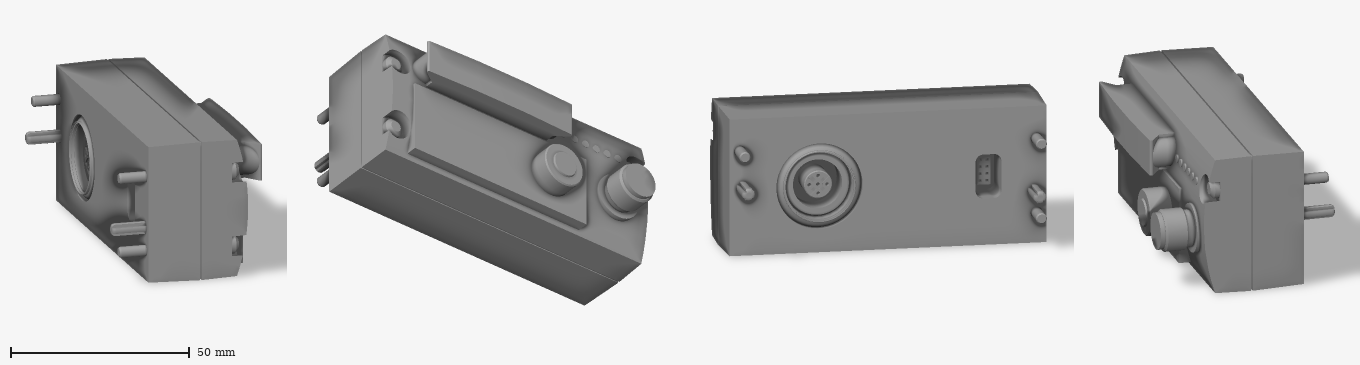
import cadquery as cq
import math

LENGTH = 91.0
HEIGHT = 40.0
DRAFT = 0.4
BASE_DEPTH = 14.9
GROOVE_WIDTH = 0.55
GROOVE_DEPTH = 0.3
PARTING_Y = BASE_DEPTH + GROOVE_WIDTH
COVER_EDGE_Y = 25.75
COVER_CROWN_Y = 29.1
PANEL_Y = 29.85

SCREW_X = 42.2
SCREW_UPPER_Z = 10.4
SCREW_LOWER_Z = -11.0
SCREW_SPOTS = [(-SCREW_X, SCREW_UPPER_Z), (SCREW_X, SCREW_UPPER_Z), (SCREW_X, SCREW_LOWER_Z)]
SHANK_D = 3.1
SHANK_TIP_D = 2.5
SHANK_TIP_Y = -7.8
SHANK_CHAMFER = 0.5
SCREW_HOLE_D = 3.4
HEAD_D = 5.6
HEAD_RIM_HEIGHT = 1.5
HEAD_BEVEL_HEIGHT = 1.1
HEAD_TOP_R = 1.6
HEAD_SEAT_Y = 24.3
HEAD_POCKET_D = 8.3

KEY_SPOTS = [(-41.5, 0.0), (41.5, -4.55)]
KEY_D = 3.6
KEY_ARM = 1.55
KEY_TIP_Y = -9.8
KEY_TIP_R = 1.0

HEADER_X = 28.6
POCKET_WIDTH = 7.4
POCKET_HEIGHT = 12.65
POCKET_CORNER_R = 2.2
POCKET_DEPTH = 10.9
HEADER_WIDTH = 4.0
HEADER_HEIGHT = 8.2
HEADER_FRONT_Y = 7.3
CONTACT_PITCH = 2.0
CONTACT_SIZE = 0.8
CONTACT_DEPTH = 2.7

SOCKET_X = -19.6
SOCKET_Z = -0.6
SOCKET_R = 12.3
SOCKET_BACK_Y = 12.7
SEAL_SHOULDER_Y = 2.2
SEAL_BULGE = 0.2
COLLAR_R = 10.4
COLLAR_LIP_R = 10.1
COLLAR_STEP_R = 9.8
COLLAR_STEP_Y = -0.3
COLLAR_BORE_R = 9.6
COLLAR_BORE_Y = 0.55
COLLAR_FRONT_Y = -0.8
COLLAR_CHAMFER = 0.2
V_GROOVE_R = 9.4
V_GROOVE_Y = 3.5
LEDGE_R = 8.9
LEDGE_Y = 2.9
WELL_R = 7.0
WELL_FLOOR_Y = 10.9
POST_R = 4.0
POST_FRONT_Y = 1.8
POST_CHAMFER = 0.3
CONTACT_HOLE_D = 1.1
CONTACT_HOLE_OFFSET = 2.55
CONTACT_HOLE_DEPTH = 4.55
CROSS_WIDTH = 1.1
CROSS_HUB_D = 2.6
CROSS_DEPTH = 0.5

PLUG_X = -34.1
PLUG_Z = -3.7
PLUG_END_Y = 39.95
FLANGE_R = 7.0
FLANGE_SEAT_Y = 27.8
NECK_R = 5.3
NECK_FOOT_R = 5.1
NECK_FOOT_Y = 30.4
GRIP_R = 6.0
GRIP_START_Y = 31.8
GRIP_END_Y = 38.5
GRIP_CHAMFER = 0.55

PANEL_LEFT = -22.75
PANEL_RIGHT = 37.9
PANEL_BOTTOM = -18.2
PANEL_TOP = 4.0
CAP_X = -10.0
CAP_Z = -6.8
CAP_R = 6.7
CAP_TOP_Y = 36.3
CAP_CHAMFER = 0.4
BUTTON_R = 4.0
BUTTON_TOP_Y = 36.9
BUTTON_TOP_R = 3.7

BRACKET_X = 12.0
BRACKET_Z = 10.4
BRACKET_WIDTH = 10.4
BRACKET_POST_D = 8.3
BRACKET_POST_HALF = 21.3
BRACKET_WING_Y = 31.7
BRACKET_TIP_HALF = 25.5
BRACKET_TIP_LOW_Y = 34.7
BRACKET_TIP_HIGH_Y = 35.6
BRACKET_TIP_SETBACK = 0.55
BRACKET_TIP_UNDERCUT = 0.14
BRACKET_CROWN_Y = 36.2

LENS_COUNT = 6
LENS_PITCH = 3.8
LENS_FIRST_X = -34.9
LENS_D = 2.3
LENS_TOP_Y = 28.6


def rod(x, z, diameter, y_start, y_end):
    """Round bar along Y."""
    depth = y_end - y_start
    return cq.Workplane("XZ", origin=(x, y_start, z)).circle(diameter / 2).extrude(-depth)


def block(x, z, width, height, y_start, y_end):
    """Rectangular bar along Y, centred on (x, z)."""
    depth = y_end - y_start
    return cq.Workplane("XZ", origin=(x, y_start, z)).rect(width, height).extrude(-depth)


def turned(outline, x, z):
    """Turn an outline of (radius, y) points about the Y axis through (x, z)."""
    profile = cq.Workplane("XY", origin=(x, 0, z)).polyline(outline).close()
    return profile.revolve(360, (0, 0, 0), (0, 1, 0))


def drafted_block(y_wide, y_narrow):
    """Housing block that is full size at y_wide and leans in towards y_narrow."""
    depth = y_narrow - y_wide
    angle = math.degrees(math.atan(DRAFT / abs(depth)))
    start = cq.Workplane("XZ", origin=(0, y_wide, 0)).rect(LENGTH, HEIGHT)
    return start.extrude(-depth, taper=angle)


def make_key(x, z):
    upright = block(x, z, KEY_ARM, KEY_D, KEY_TIP_Y, 0)
    crosswise = block(x, z, KEY_D, KEY_ARM, KEY_TIP_Y, 0)
    envelope = rod(x, z, KEY_D, KEY_TIP_Y, 0).faces("<Y").fillet(KEY_TIP_R)
    return upright.union(crosswise).intersect(envelope)


def make_header():
    header = block(HEADER_X, 0, HEADER_WIDTH, HEADER_HEIGHT, HEADER_FRONT_Y, POCKET_DEPTH)
    for column in (-0.5, 0.5):
        for row in (-1.5, -0.5, 0.5, 1.5):
            x = HEADER_X + column * CONTACT_PITCH
            z = row * CONTACT_PITCH
            contact_end_y = HEADER_FRONT_Y + CONTACT_DEPTH
            header = header.cut(block(x, z, CONTACT_SIZE, CONTACT_SIZE, HEADER_FRONT_Y, contact_end_y))
    return header


def make_base():
    base = drafted_block(BASE_DEPTH, 0)
    core_length = LENGTH - 2 * GROOVE_DEPTH
    core_height = HEIGHT - 2 * GROOVE_DEPTH
    base = base.union(block(0, 0, core_length, core_height, BASE_DEPTH, PARTING_Y))

    pocket = block(HEADER_X, 0, POCKET_WIDTH, POCKET_HEIGHT, 0, POCKET_DEPTH)
    base = base.cut(pocket.edges("|Y").fillet(POCKET_CORNER_R))
    base = base.union(make_header())

    base = base.cut(rod(SOCKET_X, SOCKET_Z, 2 * SOCKET_R, 0, SOCKET_BACK_Y))
    for x, z in SCREW_SPOTS:
        base = base.cut(rod(x, z, SCREW_HOLE_D, 0, PARTING_Y))
    for x, z in KEY_SPOTS:
        base = base.union(make_key(x, z))
    return base


def make_cover_shell():
    crowned = (
        cq.Workplane("YZ", origin=(-LENGTH / 2, 0, 0))
        .moveTo(PARTING_Y, -HEIGHT / 2)
        .lineTo(COVER_EDGE_Y, -HEIGHT / 2)
        .threePointArc((COVER_CROWN_Y, 0), (COVER_EDGE_Y, HEIGHT / 2))
        .lineTo(PARTING_Y, HEIGHT / 2)
        .close()
        .extrude(LENGTH)
    )
    return drafted_block(PARTING_Y, COVER_CROWN_Y).intersect(crowned)


def make_cap():
    """Round cap carrying a slightly conical button."""
    cap = rod(CAP_X, CAP_Z, 2 * CAP_R, PARTING_Y, CAP_TOP_Y).faces(">Y").chamfer(CAP_CHAMFER)
    button_outline = [
        (0, PARTING_Y),
        (BUTTON_R, PARTING_Y),
        (BUTTON_R, CAP_TOP_Y),
        (BUTTON_TOP_R, BUTTON_TOP_Y),
        (0, BUTTON_TOP_Y),
    ]
    return cap.union(turned(button_outline, CAP_X, CAP_Z))


def make_bracket():
    """Bar with sloping wings and a crowned back, standing on a post with round ends."""
    post_left = BRACKET_X - BRACKET_POST_HALF
    post_right = BRACKET_X + BRACKET_POST_HALF
    tip_left = BRACKET_X - BRACKET_TIP_HALF
    tip_right = BRACKET_X + BRACKET_TIP_HALF
    tip_middle_y = (BRACKET_TIP_LOW_Y + BRACKET_TIP_HIGH_Y) / 2
    bar = (
        cq.Workplane("XY", origin=(0, 0, BRACKET_Z - BRACKET_WIDTH / 2))
        .moveTo(post_left, PARTING_Y)
        .lineTo(post_left, BRACKET_WING_Y)
        .lineTo(tip_left + BRACKET_TIP_UNDERCUT, BRACKET_TIP_LOW_Y)
        .threePointArc((tip_left, tip_middle_y), (tip_left + BRACKET_TIP_SETBACK, BRACKET_TIP_HIGH_Y))
        .threePointArc((BRACKET_X, BRACKET_CROWN_Y), (tip_right - BRACKET_TIP_SETBACK, BRACKET_TIP_HIGH_Y))
        .threePointArc((tip_right, tip_middle_y), (tip_right - BRACKET_TIP_UNDERCUT, BRACKET_TIP_LOW_Y))
        .lineTo(post_right, BRACKET_WING_Y)
        .lineTo(post_right, PARTING_Y)
        .close()
        .extrude(BRACKET_WIDTH)
    )
    for end_x in (post_left, post_right):
        bar = bar.union(rod(end_x, BRACKET_Z, BRACKET_POST_D, PARTING_Y, BRACKET_TIP_LOW_Y))
    return bar


def make_panel():
    middle_x = (PANEL_LEFT + PANEL_RIGHT) / 2
    middle_z = (PANEL_BOTTOM + PANEL_TOP) / 2
    width = PANEL_RIGHT - PANEL_LEFT
    height = PANEL_TOP - PANEL_BOTTOM
    return block(middle_x, middle_z, width, height, PARTING_Y, PANEL_Y)


def make_cover():
    cover = make_cover_shell()
    for x, z in SCREW_SPOTS:
        cover = cover.cut(rod(x, z, HEAD_POCKET_D, HEAD_SEAT_Y, COVER_CROWN_Y))
        cover = cover.cut(rod(x, z, SCREW_HOLE_D, PARTING_Y, HEAD_SEAT_Y))
    cover = cover.union(make_panel()).union(make_cap()).union(make_bracket())
    for index in range(LENS_COUNT):
        lens_x = LENS_FIRST_X + index * LENS_PITCH
        cover = cover.union(rod(lens_x, BRACKET_Z, LENS_D, PARTING_Y, LENS_TOP_Y))
    return cover.cut(rod(PLUG_X, PLUG_Z, 2 * FLANGE_R, FLANGE_SEAT_Y, PANEL_Y))


def make_socket_shell():
    seal_middle = (
        (SOCKET_R + COLLAR_R) / 2 + SEAL_BULGE,
        SEAL_SHOULDER_Y / 2 - SEAL_BULGE,
    )
    return (
        cq.Workplane("XY", origin=(SOCKET_X, 0, SOCKET_Z))
        .moveTo(0, SOCKET_BACK_Y)
        .lineTo(SOCKET_R, SOCKET_BACK_Y)
        .lineTo(SOCKET_R, SEAL_SHOULDER_Y)
        .threePointArc(seal_middle, (COLLAR_R, 0))
        .lineTo(COLLAR_R, COLLAR_FRONT_Y + COLLAR_CHAMFER)
        .lineTo(COLLAR_R - COLLAR_CHAMFER, COLLAR_FRONT_Y)
        .lineTo(COLLAR_LIP_R, COLLAR_FRONT_Y)
        .lineTo(COLLAR_LIP_R, COLLAR_STEP_Y)
        .lineTo(COLLAR_STEP_R, COLLAR_STEP_Y)
        .lineTo(COLLAR_STEP_R, COLLAR_BORE_Y)
        .lineTo(COLLAR_BORE_R, COLLAR_BORE_Y)
        .lineTo(V_GROOVE_R, V_GROOVE_Y)
        .lineTo(LEDGE_R, LEDGE_Y)
        .lineTo(WELL_R, LEDGE_Y)
        .lineTo(WELL_R, WELL_FLOOR_Y)
        .lineTo(0, WELL_FLOOR_Y)
        .close()
        .revolve(360, (0, 0, 0), (0, 1, 0))
    )


def make_post():
    """Contact carrier with a diagonal cross recess and five contact holes."""
    post = rod(SOCKET_X, SOCKET_Z, 2 * POST_R, POST_FRONT_Y, WELL_FLOOR_Y)
    post = post.faces("<Y").chamfer(POST_CHAMFER)

    recess_end_y = POST_FRONT_Y + CROSS_DEPTH
    post = post.cut(rod(SOCKET_X, SOCKET_Z, CROSS_HUB_D, POST_FRONT_Y, recess_end_y))
    reach = 2 * (POST_R - POST_CHAMFER)
    bar = block(SOCKET_X, SOCKET_Z, reach, CROSS_WIDTH, POST_FRONT_Y, recess_end_y)
    axis_start = (SOCKET_X, 0, SOCKET_Z)
    axis_end = (SOCKET_X, 1, SOCKET_Z)
    for angle in (45, -45):
        post = post.cut(bar.rotate(axis_start, axis_end, angle))

    hole_steps = [(0, 0), (1, 0), (-1, 0), (0, 1), (0, -1)]
    for across, up in hole_steps:
        x = SOCKET_X + across * CONTACT_HOLE_OFFSET
        z = SOCKET_Z + up * CONTACT_HOLE_OFFSET
        post = post.cut(rod(x, z, CONTACT_HOLE_D, POST_FRONT_Y, POST_FRONT_Y + CONTACT_HOLE_DEPTH))
    return post


def make_socket():
    return make_socket_shell().union(make_post())


def make_rear_connector():
    outline = [
        (0, FLANGE_SEAT_Y),
        (FLANGE_R, FLANGE_SEAT_Y),
        (FLANGE_R, PANEL_Y),
        (NECK_FOOT_R, PANEL_Y),
        (NECK_R, NECK_FOOT_Y),
        (NECK_R, GRIP_START_Y),
        (GRIP_R - GRIP_CHAMFER, GRIP_START_Y),
        (GRIP_R, GRIP_START_Y + GRIP_CHAMFER),
        (GRIP_R, GRIP_END_Y - GRIP_CHAMFER),
        (GRIP_R - GRIP_CHAMFER, GRIP_END_Y),
        (NECK_R, GRIP_END_Y),
        (NECK_R, PLUG_END_Y),
        (0, PLUG_END_Y),
    ]
    return turned(outline, PLUG_X, PLUG_Z)


def make_screw(x, z):
    """Screw with a bevelled head, driven in from the back and standing out at the front."""
    rim_y = HEAD_SEAT_Y + HEAD_RIM_HEIGHT
    top_y = rim_y + HEAD_BEVEL_HEIGHT
    outline = [
        (0, SHANK_TIP_Y),
        (SHANK_TIP_D / 2, SHANK_TIP_Y),
        (SHANK_D / 2, SHANK_TIP_Y + SHANK_CHAMFER),
        (SHANK_D / 2, HEAD_SEAT_Y),
        (HEAD_D / 2, HEAD_SEAT_Y),
        (HEAD_D / 2, rim_y),
        (HEAD_TOP_R, top_y),
        (0, top_y),
    ]
    return turned(outline, x, z)


base = make_base()
cover = make_cover()
socket = make_socket()
rear_connector = make_rear_connector()
screws = [make_screw(x, z) for x, z in SCREW_SPOTS]

result = cq.Compound.makeCompound(
    [base.val(), cover.val(), socket.val(), rear_connector.val(), *[screw.val() for screw in screws]]
)